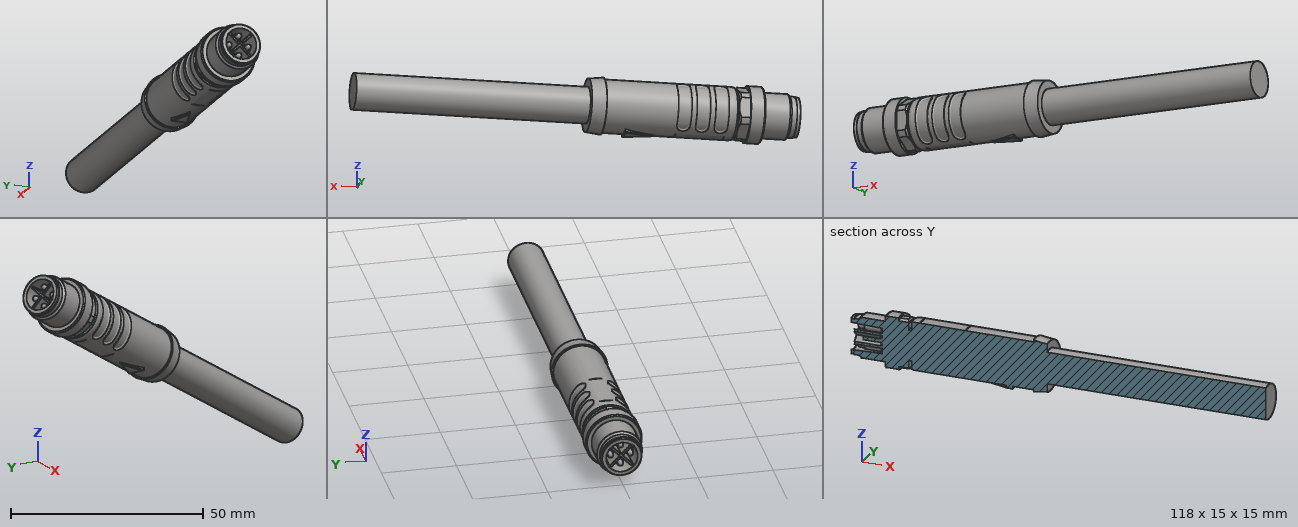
import cadquery as cq
import math

total_length = 118.0
lead_length = 1.0
ring_end = 2.4
thread_start = 3.0
nut_start = 9.7
nut_end = 13.6
hex_end = 16.5
grip_start = 17.1
grip_lead_end = 17.9
collar_start = 51.9
collar_end = 55.8

lead_diameter = 10.5
ring_diameter = 10.9
thread_diameter = 12.0
nut_diameter = 15.0
neck_diameter = 9.3
grip_lead_diameter = 13.7
grip_diameter = 14.0
cable_diameter = 9.7

nut_chamfer = 0.4
hex_sides = 6
hex_across_flats = 13.0
hex_corner_chamfer = 0.5

bore_diameter = 8.4
bore_floor_diameter = 7.8
bore_depth = 8.8
pin_count = 4
pin_diameter = 1.5
pin_circle_diameter = 5.3
pin_tip_inset = 1.3
pin_shank_diameter = 2.1
pin_nose_length = 2.1
pin_tip_fillet = 0.7
pin_base_diameter = 2.7
pin_base_length = 0.5

shield_inset = 1.0
shield_thickness = 0.6

groove_count = 3
groove_pitch = 5.0
groove_width = 3.5
first_groove = 21.1
groove_depth = 0.5
groove_floor_fillet = 0.41
groove_end_offset = 3.0

flat_start = 19.6
flat_end = 32.5
flat_width = 3.3

arrow_tip = 38.1
arrow_length = 7.9
arrow_width = 4.7
arrow_chamfer = 0.2


def cylinder(start, end, diameter):
    """Round section on the X axis."""
    return cq.Workplane("YZ", origin=(start, 0, 0)).circle(diameter / 2).extrude(end - start)


def cone(start, end, start_diameter, end_diameter):
    """Tapered section on the X axis."""
    outline = [(start, 0), (start, start_diameter / 2), (end, end_diameter / 2), (end, 0)]
    return cq.Workplane("XY").polyline(outline).close().revolve(360, (0, 0, 0), (1, 0, 0))


def box(x_range, y_range, z_range):
    """Block between pairs of limits along each axis."""
    size = [high - low for low, high in (x_range, y_range, z_range)]
    corner = (x_range[0], y_range[0], z_range[0])
    return cq.Workplane("XY").box(*size, centered=False).translate(corner)


def make_nut():
    """Round nut with its front edge chamfered."""
    nut = cylinder(nut_start, nut_end, nut_diameter)
    return nut.faces("<X").chamfer(nut_chamfer)


def make_hexagon():
    """Hexagon with flats facing +Y and -Y, trimmed by the grip diameter."""
    half_side_angle = 180 / hex_sides
    across_corners = hex_across_flats / math.cos(math.radians(half_side_angle))
    prism = (
        cq.Workplane("YZ", origin=(nut_end, 0, 0))
        .transformed(rotate=(0, 0, half_side_angle))
        .polygon(hex_sides, across_corners)
        .extrude(hex_end - nut_end)
    )
    envelope = cylinder(nut_end, hex_end, grip_diameter).faces(">X").chamfer(hex_corner_chamfer)
    return prism.intersect(envelope)


def make_groove(center, side):
    """Cutter for a shallow groove round one side of the grip, with round ends seen along Z."""
    slot_length = grip_diameter
    outline = (
        cq.Workplane("XY", origin=(center, side * (groove_end_offset + slot_length / 2), -grip_diameter))
        .slot2D(slot_length, groove_width, 90)
        .extrude(2 * grip_diameter)
    )
    floor_radius = grip_diameter / 2 - groove_depth
    start = center - groove_width
    end = center + groove_width
    rim = cylinder(start, end, 2 * grip_diameter).cut(cylinder(start, end, 2 * floor_radius))
    cutter = outline.intersect(rim)
    floor_point = (center, side * floor_radius, 0)
    floor = cutter.faces(cq.selectors.NearestToPointSelector(floor_point))
    return floor.edges().fillet(groove_floor_fillet)


def make_grip():
    """Grip sleeve with a tapered lead, finger grooves and two marking flats."""
    lead = cone(grip_start, grip_lead_end, grip_lead_diameter, grip_diameter)
    grip = lead.union(cylinder(grip_lead_end, collar_start, grip_diameter))
    for index in range(groove_count):
        for side in (-1, 1):
            grip = grip.cut(make_groove(first_groove + index * groove_pitch, side))
    half_width = flat_width / 2
    flat_height = math.sqrt((grip_diameter / 2) ** 2 - half_width ** 2)
    top_cutter = box((flat_start, flat_end), (-half_width, half_width), (flat_height, grip_diameter))
    return grip.cut(top_cutter).cut(top_cutter.mirror("XY"))


def make_arrow():
    """Triangular pad under the grip, pointing at the mating face."""
    outline = [
        (arrow_tip, 0),
        (arrow_tip + arrow_length, arrow_width / 2),
        (arrow_tip + arrow_length, -arrow_width / 2),
    ]
    bottom = -nut_diameter / 2
    arrow = cq.Workplane("XY", origin=(0, 0, bottom)).polyline(outline).close().extrude(-bottom)
    return arrow.faces("<Z").chamfer(arrow_chamfer)


def make_pin(index):
    """Contact pin with a rounded nose, a wider shank and a low round base at the bore floor."""
    angle = 2 * math.pi * index / pin_count
    y = pin_circle_diameter / 2 * math.cos(angle)
    z = pin_circle_diameter / 2 * math.sin(angle)
    nose_end = pin_tip_inset + pin_nose_length
    nose = cylinder(pin_tip_inset, nose_end, pin_diameter).faces("<X").edges().fillet(pin_tip_fillet)
    shank = cylinder(nose_end, bore_depth, pin_shank_diameter)
    base = cylinder(bore_depth - pin_base_length, bore_depth, pin_base_diameter)
    return nose.union(shank).union(base).translate((0, y, z))


def make_shield(bore):
    """Two crossed diagonal walls that fill the bore from wall to wall."""
    half = shield_thickness / 2
    reach = bore_diameter
    wall = box((shield_inset, bore_depth), (-reach, reach), (-half, half))
    cross = wall.union(wall.rotate((0, 0, 0), (1, 0, 0), 90))
    return cross.rotate((0, 0, 0), (1, 0, 0), 45).intersect(bore)


bore = cone(0, bore_depth, bore_diameter, bore_floor_diameter)

result = cylinder(0, lead_length, lead_diameter)
result = result.union(cylinder(lead_length, ring_end, ring_diameter))
result = result.union(cone(ring_end, thread_start, ring_diameter, thread_diameter))
result = result.union(cylinder(thread_start, nut_start, thread_diameter))
result = result.union(make_nut())
result = result.union(make_hexagon())
result = result.union(cylinder(hex_end, grip_start, neck_diameter))
result = result.union(make_grip())
result = result.union(make_arrow())
result = result.union(cone(collar_start, collar_end, nut_diameter, grip_diameter))
result = result.union(cylinder(collar_end, total_length, cable_diameter))
result = result.cut(bore)
result = result.union(make_shield(bore))
for index in range(pin_count):
    result = result.union(make_pin(index))